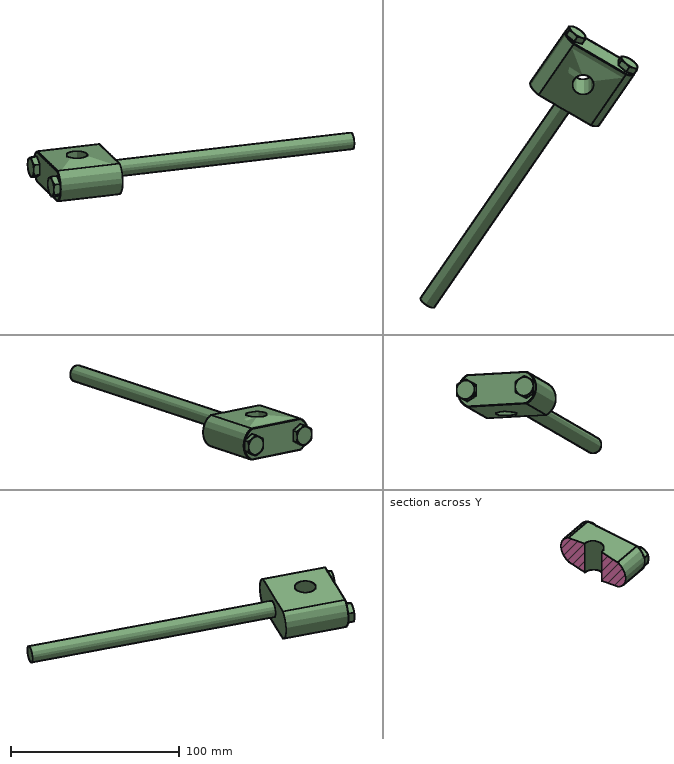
import cadquery as cq
import math


total_length = 195.7
body_width = 49.0
body_height = 19.4
body_front = -19.0
body_back = 20.4
overall_height = 22.9
flat_half_width = 18.4
hole_radius = 6.3
rod_diameter = 10.0
front_edge_chamfer = 0.4

crown_half_width = 17.8
crown_half_length = 15.9
ridge_half_length = 5.0

head_height = 4.0
head_across_flats = 11.2
head_spacing = 36.6
head_sides = 6
head_chamfer_angle = 30.0

crown_height = (overall_height - body_height) / 2
ridge_half_width = math.sqrt(hole_radius**2 - ridge_half_length**2)
head_across_corners = head_across_flats / math.cos(math.pi / head_sides)
rod_end = body_front - head_height + total_length


def make_body():
    """Flat block with bulging arc sides and a lightly chamfered front rim."""
    half_height = body_height / 2
    return (
        cq.Workplane("XZ", origin=(0, body_back, 0))
        .moveTo(-flat_half_width, -half_height)
        .lineTo(flat_half_width, -half_height)
        .threePointArc((body_width / 2, 0), (flat_half_width, half_height))
        .lineTo(-flat_half_width, half_height)
        .threePointArc((-body_width / 2, 0), (-flat_half_width, -half_height))
        .close()
        .extrude(body_back - body_front)
        .faces("<Y")
        .chamfer(front_edge_chamfer)
    )


def make_crown():
    """Four sloping planes, with a ridge across X that rises to the full hole rim."""
    base = cq.Workplane("XY", origin=(0, 0, body_height / 2))
    slopes = (
        base.rect(2 * crown_half_width, 2 * crown_half_length)
        .workplane(offset=crown_height)
        .rect(2 * ridge_half_width, 2 * ridge_half_length)
        .loft(ruled=True)
    )
    ridge = (
        base.moveTo(-crown_half_width, -ridge_half_length)
        .lineTo(crown_half_width, -ridge_half_length)
        .lineTo(crown_half_width, ridge_half_length)
        .lineTo(-crown_half_width, ridge_half_length)
        .close()
        .workplane(offset=crown_height, origin=(0, 0, body_height / 2))
        .moveTo(-ridge_half_width, -ridge_half_length)
        .lineTo(ridge_half_width, -ridge_half_length)
        .threePointArc((hole_radius, 0), (ridge_half_width, ridge_half_length))
        .lineTo(-ridge_half_width, ridge_half_length)
        .threePointArc((-hole_radius, 0), (-ridge_half_width, -ridge_half_length))
        .close()
        .loft(ruled=True)
    )
    return slopes.union(ridge)


def make_bolt_head(x):
    """Hexagonal head with two corners along Z and its outer corners turned down."""
    face = cq.Workplane("XZ", origin=(x, body_front, 0))
    chamfer_width = (head_across_corners - head_across_flats) / 2
    chamfer_depth = chamfer_width * math.tan(math.radians(head_chamfer_angle))
    hexagon = (
        face.transformed(rotate=(0, 0, 90))
        .polygon(head_sides, head_across_corners)
        .extrude(head_height)
    )
    turned_blank = (
        face.circle(head_across_corners / 2)
        .extrude(head_height)
        .faces("<Y")
        .chamfer(chamfer_depth, chamfer_width)
    )
    return hexagon.intersect(turned_blank)


def make_rod():
    """Round rod standing on the back face of the body."""
    return (
        cq.Workplane("XZ", origin=(0, rod_end, 0))
        .circle(rod_diameter / 2)
        .extrude(rod_end - body_back)
    )


crown = make_crown()
clamp = make_body().union(crown).union(crown.mirror("XY"))
hole = cq.Workplane("XY").circle(hole_radius).extrude(overall_height, both=True)
result = clamp.cut(hole).union(make_rod())
for side in (-1, 1):
    result = result.union(make_bolt_head(side * head_spacing / 2))